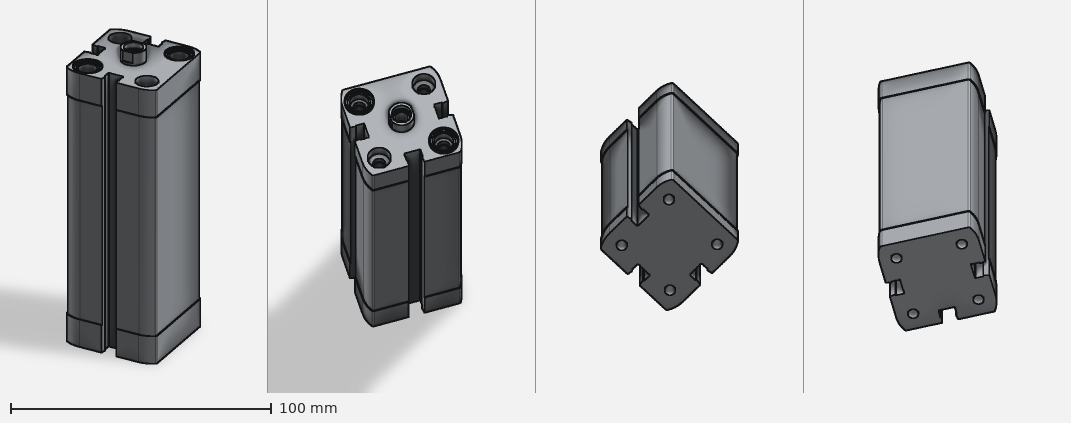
import cadquery as cq
import math

TOTAL_HEIGHT = 124.5
BODY_WIDTH = 39.5
BODY_HEIGHT = 119.0
CAP_HEIGHT = 12.0
TUBE_INSET = 0.31

HOLE_OFFSET = 13.0
CORNER_ARC_RADIUS = 12.0
CORNER_FILLET = 1.0

SLOT_FLARE_WIDTH = 6.5
SLOT_MOUTH_WIDTH = 6.2
SLOT_THROAT_WIDTH = 5.6
SLOT_INNER_WIDTH = 6.5
SLOT_FLARE_DEPTH = 0.31
SLOT_LIP = 2.2
SLOT_UNDERCUT = 0.2
SLOT_DEPTH = 5.7
SLOT_CORNER = 0.2
SLOT_ANGLES = [0, 90, 180]

THROUGH_DIAMETER = 4.1
PILOT_DIAMETER = 4.9
PILOT_DEPTH = 7.5
PLAIN_RECESS_DIAMETER = 9.0
RECESS_DEPTH = 5.0
STEPPED_RECESS = [(11.5, 0.4), (10.5, 0.7), (9.0, 1.1), (7.5, RECESS_DEPTH)]

ROD_DIAMETER = 10.0
ROD_FLATS_WIDTH = 9.0
ROD_FLATS_HEIGHT = 4.4
ROD_THREAD_HOLE = [(7.5, 2.5), (6.3, 3.1), (5.0, 10.0)]
DRILL_POINT_ANGLE = 118.0
ROD_BOTTOM = BODY_HEIGHT - CAP_HEIGHT


def outline_prism(inset, bottom, height):
    """Square prism with its sides moved inwards by inset."""
    half = BODY_WIDTH / 2 - inset
    radius = CORNER_ARC_RADIUS - inset

    def arc_drop(x):
        return radius - math.sqrt(radius**2 - (x - HOLE_OFFSET) ** 2)

    middle_x = (HOLE_OFFSET + half) / 2
    middle_y = half - arc_drop(middle_x)
    side_y = half - arc_drop(half)
    sketch = (
        cq.Workplane("XY", origin=(0, 0, bottom))
        .moveTo(-HOLE_OFFSET, half)
        .lineTo(HOLE_OFFSET, half)
        .threePointArc((middle_x, middle_y), (half, side_y))
        .lineTo(half, -side_y)
        .threePointArc((middle_x, -middle_y), (HOLE_OFFSET, -half))
        .lineTo(-HOLE_OFFSET, -half)
        .threePointArc((-middle_x, -middle_y), (-half, -side_y))
        .lineTo(-half, side_y)
        .threePointArc((-middle_x, middle_y), (-HOLE_OFFSET, half))
        .close()
    )
    return sketch.extrude(height).edges("|Z and (<X or >X)").fillet(CORNER_FILLET)


def slot_cutter(angle):
    """Full-height slot in the +Y side, turned about Z by angle."""
    side = BODY_WIDTH / 2
    inner = SLOT_INNER_WIDTH / 2
    right = [
        (SLOT_FLARE_WIDTH / 2, side),
        (SLOT_MOUTH_WIDTH / 2, side - SLOT_FLARE_DEPTH),
        (SLOT_THROAT_WIDTH / 2, side - SLOT_LIP),
        (inner, side - SLOT_LIP - SLOT_UNDERCUT),
        (inner, side - SLOT_DEPTH + SLOT_CORNER),
        (inner - SLOT_CORNER, side - SLOT_DEPTH),
    ]
    left = [(-x, y) for x, y in reversed(right)]
    cutter = cq.Workplane("XY").polyline(right + left).close().extrude(BODY_HEIGHT)
    return cutter.rotate((0, 0, 0), (0, 0, 1), angle)


def bore_from(top, x, y, diameter, depth):
    """Upright cylinder that reaches down from the height top."""
    return cq.Workplane("XY", origin=(x, y, top - depth)).circle(diameter / 2).extrude(depth)


def mounting_hole_steps(x, y):
    """Plain recesses on one diagonal, stepped ones on the other."""
    recess = [(PLAIN_RECESS_DIAMETER, RECESS_DEPTH)] if x * y < 0 else STEPPED_RECESS
    return recess + [(PILOT_DIAMETER, PILOT_DEPTH), (THROUGH_DIAMETER, BODY_HEIGHT)]


def make_housing():
    housing = outline_prism(0, 0, CAP_HEIGHT)
    housing = housing.union(outline_prism(TUBE_INSET, CAP_HEIGHT, BODY_HEIGHT - 2 * CAP_HEIGHT))
    housing = housing.union(outline_prism(0, BODY_HEIGHT - CAP_HEIGHT, CAP_HEIGHT))
    for angle in SLOT_ANGLES:
        housing = housing.cut(slot_cutter(angle))
    for x in (-HOLE_OFFSET, HOLE_OFFSET):
        for y in (-HOLE_OFFSET, HOLE_OFFSET):
            for diameter, depth in mounting_hole_steps(x, y):
                housing = housing.cut(bore_from(BODY_HEIGHT, x, y, diameter, depth))
    return housing.cut(bore_from(BODY_HEIGHT, 0, 0, ROD_DIAMETER, BODY_HEIGHT - ROD_BOTTOM))


def make_rod():
    rod = bore_from(TOTAL_HEIGHT, 0, 0, ROD_DIAMETER, TOTAL_HEIGHT - ROD_BOTTOM)

    flats_plane = cq.Workplane("XY", origin=(0, 0, TOTAL_HEIGHT - ROD_FLATS_HEIGHT))
    around = flats_plane.rect(ROD_DIAMETER, ROD_DIAMETER).extrude(ROD_FLATS_HEIGHT)
    between = flats_plane.rect(ROD_DIAMETER, ROD_FLATS_WIDTH).extrude(ROD_FLATS_HEIGHT)
    rod = rod.cut(around.cut(between))

    for diameter, depth in ROD_THREAD_HOLE:
        rod = rod.cut(bore_from(TOTAL_HEIGHT, 0, 0, diameter, depth))
    drill_diameter, drill_depth = ROD_THREAD_HOLE[-1]
    drill_radius = drill_diameter / 2
    point_height = drill_radius / math.tan(math.radians(DRILL_POINT_ANGLE / 2))
    point_bottom = cq.Vector(0, 0, TOTAL_HEIGHT - drill_depth - point_height)
    drill_point = cq.Solid.makeCone(0, drill_radius, point_height, pnt=point_bottom)
    return rod.cut(cq.Workplane(obj=drill_point))


housing = make_housing()
rod = make_rod()
result = cq.Compound.makeCompound([housing.val(), rod.val()])